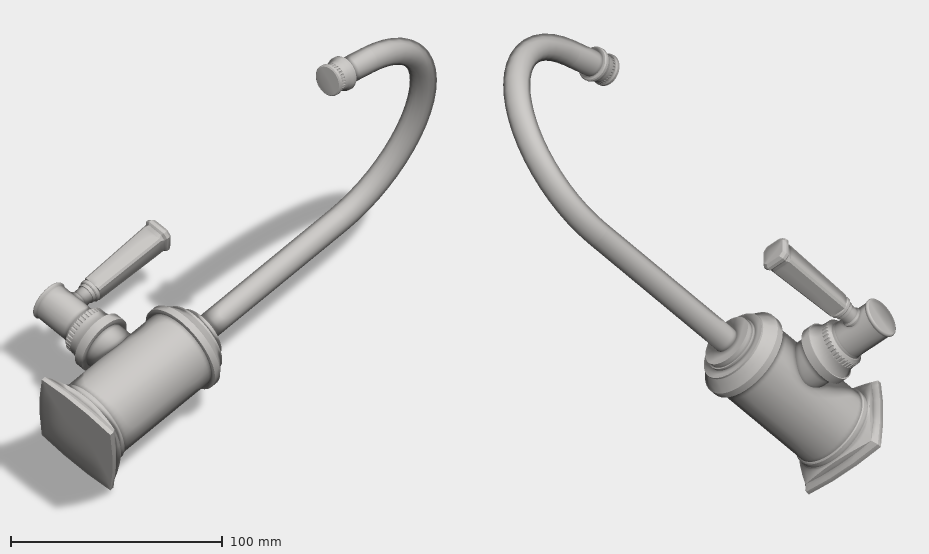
import cadquery as cq
import math


PLATE_THICKNESS = 2.2
PLATE_CORNER_X = 22.8
PLATE_CORNER_Z = 22.5
PLATE_MIDDLE_X = 24.33
PLATE_MIDDLE_Z = 24.5
TAPER_HEIGHT = 2.4
TAPER_INSET = 1.9
BEVEL_FOOT_RADIUS = 29.5

BODY_RADIUS = 20.6
LOWER_TIER_RADIUS = 22.3
UPPER_TIER_RADIUS = 21.7
LOWER_TIER_TOP = 7.6
UPPER_TIER_TOP = 11.2
TIER_CHAMFER = 0.5
COLLAR_RADIUS = 23.1
COLLAR_START = 70.0
COLLAR_END = 74.0
COLLAR_CHAMFER = 0.5
SHOULDER_RADIUS = 18.4
SHOULDER_START = 78.6
SHOULDER_END = 79.6
CROWN_RADIUS = 14.2
CROWN_TOP_RADIUS = 13.5
CROWN_GROOVE_START = 81.0
CROWN_GROOVE_END = 82.0
CROWN_GROOVE_DEPTH = 0.8
CROWN_TOP = 84.0

TUBE_RADIUS = 6.4
BEND_START = 176.0
BEND_RADIUS = 57.0
BEND_ANGLE = math.radians(160)
OUTLET_LENGTH = 28.5
NOZZLE_START = 17.0
NOZZLE_RING_RADIUS = 8.5
NOZZLE_RING_END = 19.4
NOZZLE_SLOPE_END = 21.2
NOZZLE_SLOPE_RADIUS = 7.6
NOZZLE_WAIST_START = 23.8
NOZZLE_WAIST_END = 25.8
NOZZLE_WAIST_RADIUS = 7.2
NOZZLE_TIP_RADIUS = 7.85
NOZZLE_FACE_RADIUS = 7.2
NOZZLE_LIP_START = 26.6
NOZZLE_LIP_CHAMFER = 0.5
NOZZLE_FLUTES = 28
NOZZLE_FLUTE_RADIUS = 0.4

VALVE_HEIGHT = 46.4
VALVE_NECK_RADIUS = 12.0
VALVE_COLLAR_RADIUS = 15.1
VALVE_COLLAR_START = 27.3
VALVE_COLLAR_END = 31.9
COVE_START_RADIUS = 14.5
COVE_MIDDLE = (34.3, 13.0)
KNURL_START = 37.7
KNURL_END = 42.3
KNURL_RADIUS = 12.3
KNURL_CHAMFER = 1.6
KNURL_FLUTES = 36
KNURL_FLUTE_RADIUS = 0.55
SPINDLE_RADIUS = 9.6
SPINDLE_FLANGE_RADIUS = 9.9
SPINDLE_FLANGE_END = 43.4
SPINDLE_LIP_RADIUS = 10.2
SPINDLE_LIP_START = 62.7
SPINDLE_LIP_FULL = 63.6
SPINDLE_LIP_ROUND_MIDDLE = (64.6, 10.1)
SPINDLE_FACE_RADIUS = 9.5
SPINDLE_END = 65.0

LEVER_OFFSET = 54.2
STEM_RADIUS = 4.4
STEM_FOOT_RADIUS = 5.2
STEM_FOOT_END = VALVE_HEIGHT + SPINDLE_RADIUS + 0.8
FERRULE_START = 61.3
FERRULE_STEP = 63.0
FERRULE_END = 65.4
FERRULE_SMALL_RADIUS = 5.0
FERRULE_RADIUS = 5.8
FERRULE_CHAMFER = 0.5
GRIP_WIDTH_START = 9.8
GRIP_WIDTH_END = 11.6
GRIP_CHAMFER = 1.0
GRIP_END = 105.6
HEAD_NECK_END = 107.6
HEAD_NECK_WIDTH = 12.4
HEAD_LIP_START = 108.6
HEAD_LIP_END = 110.2
HEAD_END = 111.8
HEAD_WIDTH = 14.2
HEAD_TOP_WIDTH = 12.2
HEAD_CHAMFER = 2.2

BODY_AXIS = cq.Plane(origin=(0, 0, 0), xDir=(0, 1, 0), normal=(0, 0, 1))


def turned(plane, profile):
    """Revolve (distance, radius) steps about the plane's local x axis.

    A step of two points is an arc: a point on the arc, then its end.
    """
    outline = cq.Workplane(plane).moveTo(profile[0][0], 0).lineTo(*profile[0])
    for step in profile[1:]:
        if isinstance(step[0], tuple):
            outline = outline.threePointArc(*step)
            last = step[1]
        else:
            outline = outline.lineTo(*step)
            last = step
    return outline.lineTo(last[0], 0).close().revolve(360, (0, 0, 0), (1, 0, 0))


def flute_cutters(plane, start, end, circle_radius, flute_radius, count):
    """Ring of thin rods parallel to the plane's local x axis."""
    cross_plane = cq.Plane(
        origin=(plane.origin + plane.xDir * start).toTuple(),
        xDir=plane.zDir.toTuple(),
        normal=plane.xDir.toTuple(),
    )
    return (
        cq.Workplane(cross_plane)
        .polarArray(circle_radius, 0, 360, count)
        .circle(flute_radius)
        .extrude(end - start)
    )


def four_arc_outline(sketch, corner_x, corner_z, middle_x, middle_z):
    """Closed outline of four arcs, one per side, meeting at the corners."""
    return (
        sketch.moveTo(corner_x, corner_z)
        .threePointArc((0, middle_z), (-corner_x, corner_z))
        .threePointArc((-middle_x, 0), (-corner_x, -corner_z))
        .threePointArc((0, -middle_z), (corner_x, -corner_z))
        .threePointArc((middle_x, 0), (corner_x, corner_z))
        .close()
    )


def upright_plane(x, y):
    """Plane facing +Y with local x along X."""
    return cq.Plane(origin=(x, y, 0), xDir=(1, 0, 0), normal=(0, 1, 0))


def make_base():
    """Bowed square plate with tapered sides and a conical bevel up to the round body."""
    plate_size = (PLATE_CORNER_X, PLATE_CORNER_Z, PLATE_MIDDLE_X, PLATE_MIDDLE_Z)
    inset_size = [size - TAPER_INSET for size in plate_size]
    plate = four_arc_outline(cq.Workplane(upright_plane(0, 0)), *plate_size).extrude(PLATE_THICKNESS)

    taper = four_arc_outline(cq.Workplane(upright_plane(0, PLATE_THICKNESS)), *plate_size)
    taper = four_arc_outline(taper.workplane(offset=TAPER_HEIGHT), *inset_size).loft(ruled=True)

    taper_top = PLATE_THICKNESS + TAPER_HEIGHT
    bevel = four_arc_outline(
        cq.Workplane(upright_plane(0, taper_top)), *inset_size
    ).extrude(LOWER_TIER_TOP - taper_top)
    cone = turned(BODY_AXIS, [(taper_top, BEVEL_FOOT_RADIUS), (LOWER_TIER_TOP, LOWER_TIER_RADIUS)])
    return plate.union(taper).union(bevel.intersect(cone))


def make_body():
    """Round body with a two-step foot, a collar, a sloping shoulder and a grooved crown."""
    groove_radius = CROWN_RADIUS - CROWN_GROOVE_DEPTH
    return turned(BODY_AXIS, [
        (PLATE_THICKNESS, LOWER_TIER_RADIUS),
        (LOWER_TIER_TOP, LOWER_TIER_RADIUS),
        (LOWER_TIER_TOP + TIER_CHAMFER, UPPER_TIER_RADIUS),
        (UPPER_TIER_TOP - TIER_CHAMFER, UPPER_TIER_RADIUS),
        (UPPER_TIER_TOP, UPPER_TIER_RADIUS - TIER_CHAMFER),
        (UPPER_TIER_TOP, BODY_RADIUS),
        (COLLAR_START, BODY_RADIUS),
        (COLLAR_START, COLLAR_RADIUS),
        (COLLAR_END - COLLAR_CHAMFER, COLLAR_RADIUS),
        (COLLAR_END, COLLAR_RADIUS - COLLAR_CHAMFER),
        (SHOULDER_START, SHOULDER_RADIUS),
        (SHOULDER_END, SHOULDER_RADIUS),
        (SHOULDER_END, CROWN_RADIUS),
        (CROWN_GROOVE_START, CROWN_RADIUS),
        (CROWN_GROOVE_START, groove_radius),
        (CROWN_GROOVE_END, groove_radius),
        (CROWN_GROOVE_END, CROWN_TOP_RADIUS),
        (CROWN_TOP, CROWN_TOP_RADIUS),
    ])


def bend_point(angle):
    """(Y, Z) of the spout centre line after turning through the angle."""
    return (BEND_START + BEND_RADIUS * math.sin(angle), BEND_RADIUS * (1 - math.cos(angle)))


def make_spout():
    """Tube that runs straight, hooks over through the bend and ends in a fluted nozzle."""
    bend_end = bend_point(BEND_ANGLE)
    outlet_direction = (0, math.cos(BEND_ANGLE), math.sin(BEND_ANGLE))
    path = (
        cq.Workplane("YZ")
        .moveTo(SHOULDER_START, 0)
        .lineTo(BEND_START, 0)
        .threePointArc(bend_point(BEND_ANGLE / 2), bend_end)
    )
    tube = cq.Workplane(upright_plane(0, SHOULDER_START)).circle(TUBE_RADIUS).sweep(path)

    outlet = cq.Plane(origin=(0, *bend_end), xDir=outlet_direction, normal=(1, 0, 0))
    nozzle = turned(outlet, [
        (0, TUBE_RADIUS),
        (NOZZLE_START, TUBE_RADIUS),
        (NOZZLE_START, NOZZLE_RING_RADIUS - NOZZLE_LIP_CHAMFER),
        (NOZZLE_START + NOZZLE_LIP_CHAMFER, NOZZLE_RING_RADIUS),
        (NOZZLE_RING_END - NOZZLE_LIP_CHAMFER, NOZZLE_RING_RADIUS),
        (NOZZLE_SLOPE_END, NOZZLE_SLOPE_RADIUS),
        (NOZZLE_WAIST_START, NOZZLE_WAIST_RADIUS),
        (NOZZLE_WAIST_END, NOZZLE_WAIST_RADIUS),
        (NOZZLE_LIP_START, NOZZLE_TIP_RADIUS),
        (OUTLET_LENGTH - NOZZLE_LIP_CHAMFER, NOZZLE_TIP_RADIUS),
        (OUTLET_LENGTH, NOZZLE_FACE_RADIUS),
    ])
    flutes = flute_cutters(
        outlet, NOZZLE_WAIST_START, NOZZLE_WAIST_END,
        NOZZLE_WAIST_RADIUS, NOZZLE_FLUTE_RADIUS, NOZZLE_FLUTES,
    )
    return tube.union(nozzle.cut(flutes))


def make_valve():
    """Side valve: neck, collar with a cove, knurled ring and spindle with an end lip."""
    axis = cq.Plane(origin=(0, VALVE_HEIGHT, 0), xDir=(-1, 0, 0), normal=(0, 0, 1))
    valve = turned(axis, [
        (0, VALVE_NECK_RADIUS),
        (VALVE_COLLAR_START, VALVE_NECK_RADIUS),
        (VALVE_COLLAR_START, VALVE_COLLAR_RADIUS),
        (VALVE_COLLAR_END, VALVE_COLLAR_RADIUS),
        (VALVE_COLLAR_END, COVE_START_RADIUS),
        (COVE_MIDDLE, (KNURL_START, KNURL_RADIUS)),
        (KNURL_END - KNURL_CHAMFER, KNURL_RADIUS),
        (KNURL_END, KNURL_RADIUS - KNURL_CHAMFER),
        (KNURL_END, SPINDLE_FLANGE_RADIUS),
        (SPINDLE_FLANGE_END, SPINDLE_RADIUS),
        (SPINDLE_LIP_START, SPINDLE_RADIUS),
        (SPINDLE_LIP_FULL, SPINDLE_LIP_RADIUS),
        (SPINDLE_LIP_ROUND_MIDDLE, (SPINDLE_END, SPINDLE_FACE_RADIUS)),
    ])
    flutes = flute_cutters(
        axis, KNURL_START, KNURL_END, KNURL_RADIUS, KNURL_FLUTE_RADIUS, KNURL_FLUTES
    )
    return valve.cut(flutes)


def bevelled_square(sketch, width, chamfer):
    """Square outline with its corners cut off."""
    half = width / 2
    flat = half - chamfer
    return sketch.polyline([
        (half, -flat), (half, flat), (flat, half), (-flat, half),
        (-half, flat), (-half, -flat), (-flat, -half), (flat, -half),
    ]).close()


def make_lever():
    """Round stem and ferrule carrying a tapered bevelled grip with a flared head."""
    axis = cq.Plane(origin=(-LEVER_OFFSET, 0, 0), xDir=(0, 1, 0), normal=(0, 0, 1))
    lever = turned(axis, [
        (VALVE_HEIGHT, STEM_FOOT_RADIUS),
        (VALVE_HEIGHT + SPINDLE_RADIUS, STEM_FOOT_RADIUS),
        (STEM_FOOT_END, STEM_RADIUS),
        (FERRULE_START, STEM_RADIUS),
        (FERRULE_START, FERRULE_SMALL_RADIUS),
        (FERRULE_STEP, FERRULE_SMALL_RADIUS),
        (FERRULE_STEP, FERRULE_RADIUS - FERRULE_CHAMFER),
        (FERRULE_STEP + FERRULE_CHAMFER, FERRULE_RADIUS),
        (FERRULE_END - FERRULE_CHAMFER, FERRULE_RADIUS),
        (FERRULE_END, FERRULE_RADIUS - FERRULE_CHAMFER),
    ])
    sections = [
        (FERRULE_END, GRIP_WIDTH_START, GRIP_CHAMFER),
        (GRIP_END, GRIP_WIDTH_END, GRIP_CHAMFER),
        (HEAD_NECK_END, HEAD_NECK_WIDTH, HEAD_CHAMFER),
        (HEAD_LIP_START, HEAD_WIDTH, HEAD_CHAMFER),
        (HEAD_LIP_END, HEAD_WIDTH, HEAD_CHAMFER),
        (HEAD_END, HEAD_TOP_WIDTH, HEAD_CHAMFER),
    ]
    for lower, upper in zip(sections, sections[1:]):
        sketch = cq.Workplane(upright_plane(-LEVER_OFFSET, lower[0]))
        sketch = bevelled_square(sketch, *lower[1:]).workplane(offset=upper[0] - lower[0])
        lever = lever.union(bevelled_square(sketch, *upper[1:]).loft(ruled=True))
    return lever


result = (
    make_base()
    .union(make_body())
    .union(make_spout())
    .union(make_valve())
    .union(make_lever())
)